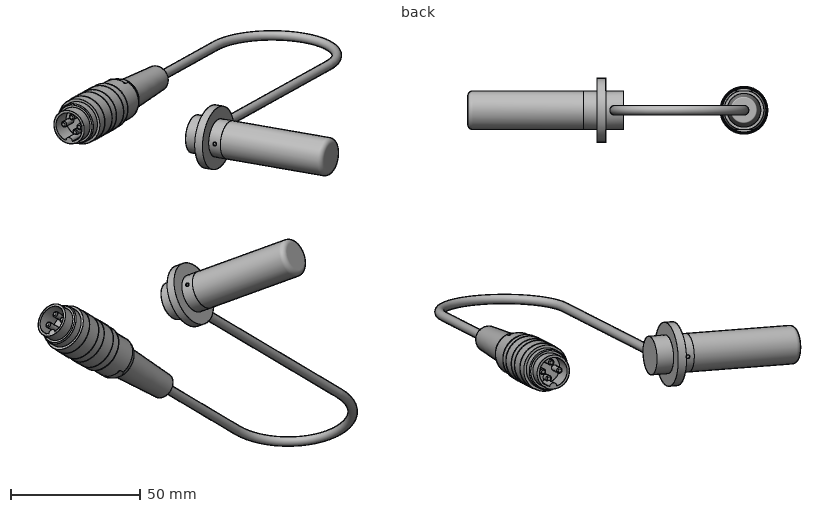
import cadquery as cq
import math

overall_length = 143.4
cable_diameter = 3.7
bend_diameter = 50.0
cable_socket_depth = 2.0

nose_diameter = 13.5
front_ring_diameter = 16.0
barrel_diameter = 18.2
grip_diameter = 18.5
nut_diameter = 16.9
nut_end_diameter = 15.3
boot_front_diameter = 13.0
boot_rear_diameter = 10.2

nose_end = 4.6
front_ring_end = 8.2
barrel_end = 31.0
nut_bevel_start = 40.0
nut_end = 42.0
boot_end = 70.0
ring_bevel = 0.5
boot_edge_radius = 0.5

grip_starts = (12.0, 21.2)
grip_length = 5.7
flat_start = 38.1
flat_spacing = 15.0

bore_diameter = 11.5
bore_depth = 7.9
key_diameter = 3.0
pin_diameter = 2.3
pin_tip_bevel = 0.5
pin_circle_radius = 3.5
pin_length = 6.0
bottom_pin_length = 3.3
pin_lengths_by_angle = {0: pin_length, 90: pin_length, 180: pin_length, 270: bottom_pin_length}

sensor_diameter = 15.0
sensor_length = 60.4
sensor_axis_y = 16.5
cable_offset = 3.5
cap_length = 15.5
flange_diameter = 25.0
flange_start = 6.9
flange_thickness = 3.5
tube_tip_radius = 2.0
lamp_diameter = 1.5
lamp_depth = 0.5

plug_axis_x = grip_diameter / 2
bend_radius = bend_diameter / 2
bend_start_y = overall_length - cable_diameter / 2 - bend_radius
sensor_cable_x = plug_axis_x + bend_diameter
sensor_rear_x = sensor_cable_x - cable_offset
cable_plug_y = boot_end - cable_socket_depth
cable_sensor_y = sensor_axis_y + sensor_diameter / 2 - cable_socket_depth
flange_end = flange_start + flange_thickness
lamp_x = sensor_rear_x + (flange_end + cap_length) / 2


def plane_across_plug(y):
    """Plane square to the plug axis, facing +Y."""
    return cq.Plane(origin=(plug_axis_x, y, 0), xDir=(1, 0, 0), normal=(0, 1, 0))


def disc_along_y(diameter, start, end):
    """Cylinder on the plug axis, from Y = start to Y = end."""
    return cq.Workplane(plane_across_plug(start)).circle(diameter / 2).extrude(end - start)


def disc_along_x(diameter, start, end):
    """Cylinder on the sensor axis, measured from the cap's rear face."""
    plane = cq.Plane(origin=(sensor_rear_x + start, sensor_axis_y, 0), xDir=(0, 1, 0), normal=(1, 0, 0))
    return cq.Workplane(plane).circle(diameter / 2).extrude(end - start)


def make_cable():
    path = (
        cq.Workplane("XY")
        .moveTo(plug_axis_x, cable_plug_y)
        .lineTo(plug_axis_x, bend_start_y)
        .threePointArc(
            (plug_axis_x + bend_radius, bend_start_y + bend_radius),
            (sensor_cable_x, bend_start_y),
        )
        .lineTo(sensor_cable_x, cable_sensor_y)
    )
    return cq.Workplane(plane_across_plug(cable_plug_y)).circle(cable_diameter / 2).sweep(path)


def make_plug_shell():
    """Nose, front ring, barrel, nut and tapered boot, turned as one outline of (radius, Y) points."""
    ring_radius = front_ring_diameter / 2
    barrel_radius = barrel_diameter / 2
    outline = [
        (0, 0),
        (nose_diameter / 2, 0),
        (nose_diameter / 2, nose_end),
        (ring_radius - ring_bevel, nose_end),
        (ring_radius, nose_end + ring_bevel),
        (ring_radius, front_ring_end),
        (barrel_radius, front_ring_end),
        (barrel_radius, barrel_end - ring_bevel),
        (barrel_radius - ring_bevel, barrel_end),
        (nut_diameter / 2, barrel_end),
        (nut_diameter / 2, nut_bevel_start),
        (nut_end_diameter / 2, nut_end),
        (boot_front_diameter / 2, nut_end),
        (boot_rear_diameter / 2, boot_end),
        (0, boot_end),
    ]
    shell = (
        cq.Workplane("XY", origin=(plug_axis_x, 0, 0))
        .polyline(outline).close()
        .revolve(360, (0, 0), (0, 1))
    )
    return shell.faces(">Y").edges().fillet(boot_edge_radius)


def make_grips():
    """Raised bands around the barrel."""
    return [disc_along_y(grip_diameter, start, start + grip_length) for start in grip_starts]


def make_flat_cutters():
    """Blocks that leave one wrench flat above and one below the nut's rear end."""
    length = nut_end - flat_start
    block = cq.Workplane("XY").box(nut_diameter, length, nut_diameter)
    height = (flat_spacing + nut_diameter) / 2
    return [block.translate((plug_axis_x, flat_start + length / 2, side * height)) for side in (1, -1)]


def make_key():
    """Rib along the bottom of the bore, kept inside the nose outline."""
    rib = disc_along_y(key_diameter, 0, bore_depth).translate((0, 0, -bore_diameter / 2))
    return rib.intersect(disc_along_y(nose_diameter, 0, bore_depth))


def make_pin(angle, length):
    """Contact pin standing on the bore floor, at an angle in degrees from +X towards +Z."""
    turn = math.radians(angle)
    return (
        disc_along_y(pin_diameter, bore_depth - length, bore_depth)
        .faces("<Y").chamfer(pin_tip_bevel)
        .translate((pin_circle_radius * math.cos(turn), 0, pin_circle_radius * math.sin(turn)))
    )


def make_plug(cable):
    plug = make_plug_shell()
    for grip in make_grips():
        plug = plug.union(grip)
    for cutter in make_flat_cutters():
        plug = plug.cut(cutter)
    plug = plug.cut(disc_along_y(bore_diameter, 0, bore_depth)).union(make_key())
    for angle, length in pin_lengths_by_angle.items():
        plug = plug.union(make_pin(angle, length))
    return plug.cut(cable)


def make_sensor_cap(cable):
    """Rear end of the sensor, with the flange, the cable socket and a small round lamp recess."""
    body = disc_along_x(sensor_diameter, 0, cap_length)
    flange = disc_along_x(flange_diameter, flange_start, flange_end)
    lamp_floor_y = sensor_axis_y - sensor_diameter / 2 + lamp_depth
    lamp_recess = (
        cq.Workplane("XZ", origin=(lamp_x, lamp_floor_y, 0))
        .circle(lamp_diameter / 2).extrude(2 * lamp_depth)
    )
    return body.union(flange).cut(lamp_recess).cut(cable)


def make_sensor_tube():
    """Front end of the sensor, flush with the cap and rounded at its tip."""
    tube = disc_along_x(sensor_diameter, cap_length, sensor_length)
    return tube.faces(">X").edges().fillet(tube_tip_radius)


cable = make_cable()
plug = make_plug(cable)
sensor_cap = make_sensor_cap(cable)
sensor_tube = make_sensor_tube()

bodies = [cable, plug, sensor_cap, sensor_tube]
result = cq.Compound.makeCompound([body.solids().val() for body in bodies])